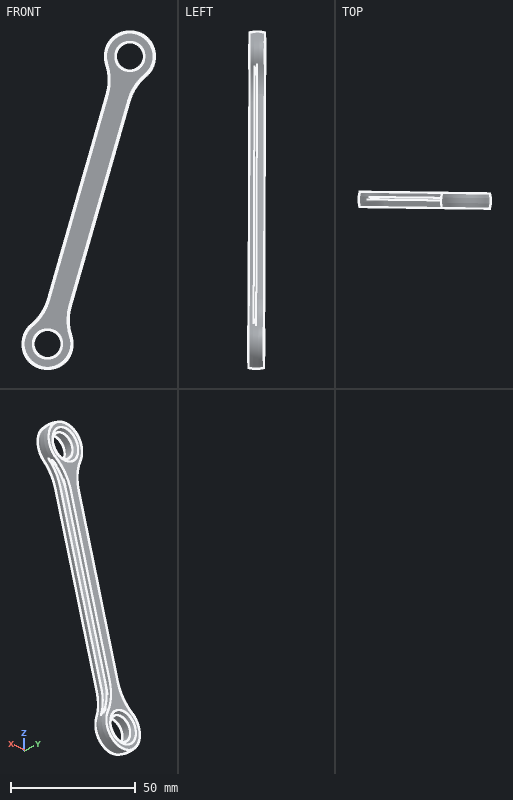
import cadquery as cq
import math

overall_height = 135.3
overall_width = 53.0
overall_depth = 6.9
eye_radius = 10.0
hole_radius = 5.7
hole_lip_flare = 0.1
hole_lip_depth = 1.6
thickness = 6.2
front_half_width = 4.7
rear_inset = 1.9
blend_radius = 20.3
edge_draft = 0.4

rise = overall_height - 2 * eye_radius
run = overall_width - 2 * eye_radius
half_spacing = math.hypot(rise, run) / 2
lean_angle = math.degrees(math.atan2(run, rise))
face_radius = eye_radius - edge_draft
twist_angle = math.degrees(math.asin((overall_depth - thickness) / (run + 2 * face_radius)))
band = thickness / 3
ledge_depth = band / 2
draft_angle = math.degrees(math.atan2(edge_draft, band))
ledge_angle = math.degrees(math.atan2(rear_inset, ledge_depth))
rear_half_width = front_half_width - rear_inset


def link_outline(half_width, distance):
    """Two round eyes joined by an arm, drawn at a distance in front of the mid-plane."""
    reach = eye_radius + blend_radius
    center_x = half_width + blend_radius
    center_drop = math.sqrt(reach**2 - center_x**2)
    arm_z = half_spacing - center_drop
    join_x = center_x * eye_radius / reach
    join_z = half_spacing - center_drop * eye_radius / reach
    half_sweep = math.atan2(center_drop, center_x) / 2
    mid_x = center_x - blend_radius * math.cos(half_sweep)
    mid_z = arm_z + blend_radius * math.sin(half_sweep)
    top_z = half_spacing + eye_radius
    return (
        cq.Workplane("XZ", origin=(0, -distance, 0))
        .moveTo(half_width, -arm_z)
        .lineTo(half_width, arm_z)
        .threePointArc((mid_x, mid_z), (join_x, join_z))
        .threePointArc((0, top_z), (-join_x, join_z))
        .threePointArc((-mid_x, mid_z), (-half_width, arm_z))
        .lineTo(-half_width, -arm_z)
        .threePointArc((-mid_x, -mid_z), (-join_x, -join_z))
        .threePointArc((0, -top_z), (join_x, -join_z))
        .threePointArc((mid_x, -mid_z), (half_width, -arm_z))
        .close()
    )


def front_layer():
    """Straight land from the mid-plane, then a drafted band up to the front face."""
    land = link_outline(front_half_width, 0).extrude(band / 2)
    drafted = link_outline(front_half_width, band / 2).extrude(band, taper=draft_angle)
    return land.union(drafted)


def rear_layer():
    """Sloped ledge stepping in to the narrower, drafted rear of the arm."""
    ledge = link_outline(front_half_width, 0).extrude(ledge_depth, taper=ledge_angle)
    drafted = link_outline(rear_half_width, band / 2).extrude(band, taper=draft_angle)
    return ledge.union(drafted).mirror("XZ")


def eye_land(z):
    """Full-radius rear land of an eye, between the mid-plane and its drafted band."""
    return cq.Workplane("XZ", origin=(0, band / 2, z)).circle(eye_radius).extrude(band / 2)


def eye_hole(z):
    """Hole slightly flared at the front and countersunk at 45 degrees at the rear."""
    half = thickness / 2
    lip = half - hole_lip_depth
    return (
        cq.Workplane("XY", origin=(0, 0, z))
        .moveTo(0, -half)
        .lineTo(hole_radius + hole_lip_flare, -half)
        .lineTo(hole_radius, -lip)
        .lineTo(hole_radius, lip)
        .lineTo(hole_radius + hole_lip_depth, half)
        .lineTo(0, half)
        .close()
        .revolve(360, (0, 0, 0), (0, 1, 0))
    )


link = front_layer().union(rear_layer())
for eye_z in (-half_spacing, half_spacing):
    link = link.union(eye_land(eye_z)).cut(eye_hole(eye_z))

leaning = link.rotate((0, 0, 0), (0, 1, 0), lean_angle)
result = leaning.rotate((0, 0, 0), (0, 0, 1), -twist_angle)